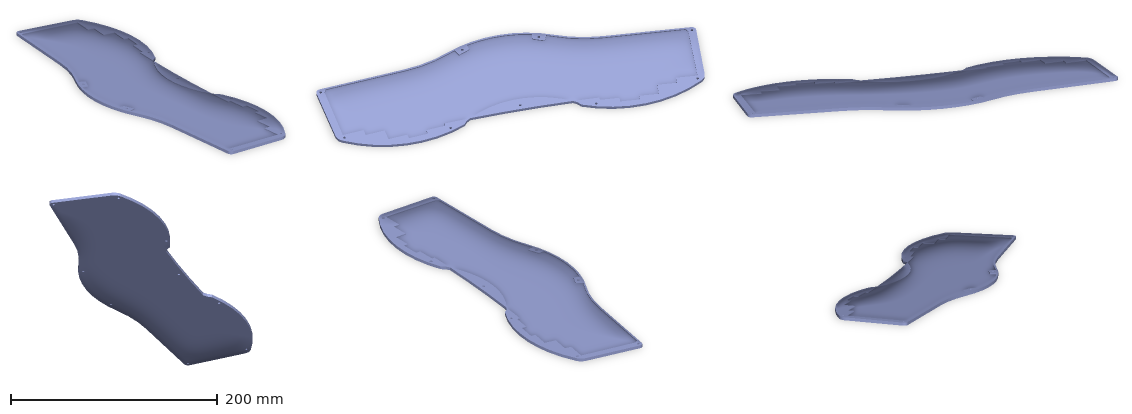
import cadquery as cq
import math

LENGTH = 376.5
DEPTH = 120.5
THICKNESS = 3.0
FLOOR = 2.0
HOLE_DIAMETER = 2.5
TILT = math.radians(5)

CORNER_RADIUS = 4.0
CORNER = (CORNER_RADIUS - LENGTH / 2, -24.5)
BULGE_RADIUS = 124.2
FLARE_RADIUS = 131.8
FRONT_RIM = 2.0

HUMP_RADIUS = 128.0
HUMP_X = -113.0
HUMP_START_X = -177.7
HUMP_END_X = -58.0
SIDE_END_Y = 34.5
SHOULDER_MIDDLE = (-181.5, 39.0)
DIP_RADIUS = 96.0
DIP_Y = 26.7
DIP_START_X = -54.5

POCKET_FRONT_CORNER = (-180.5, -23.7)
POCKET_BACK_CORNER = (-176.0, 35.5)
POCKET_BACK_Y = 40.3
KEY_PITCH = 19.2
FIRST_RUN = 21.0
STAIR_RISES = (6.8, 12.0, 5.0, -5.0, -3.0)

TAB = ((-46.3, -52.0), (-42.5, -43.0), (-31.3, -48.0), (-32.5, -56.5))
LEFT_HOLES = (CORNER, (-175.0, 39.0), (-72.3, 49.7), (-38.0, -49.0))
MIDDLE_HOLE = (0, 35.5)

ALONG = (math.cos(TILT), -math.sin(TILT))
FORWARD = (-math.sin(TILT), -math.cos(TILT))


def move(point, direction, distance):
    return (point[0] + direction[0] * distance, point[1] + direction[1] * distance)


def mirrored(point):
    return (-point[0], point[1])


def on_circle(center, radius, x, side):
    """Point of a circle at x, on its upper half (side +1) or its lower half (side -1)."""
    return (x, center[1] + side * math.sqrt(radius ** 2 - (x - center[0]) ** 2))


def front_edge(inset):
    """Flare start, middle and end on the left half, and the front of the bulge."""
    bulge_center = (0, BULGE_RADIUS - DEPTH / 2)
    bulge_radius = BULGE_RADIUS - inset
    flare_radius = FLARE_RADIUS + inset
    base = move(CORNER, FORWARD, CORNER_RADIUS + FLARE_RADIUS)
    dx = bulge_center[0] - base[0]
    dy = bulge_center[1] - base[1]
    reach = dx * ALONG[0] + dy * ALONG[1]
    gap = dx * FORWARD[0] + dy * FORWARD[1]
    travel = reach - math.sqrt((BULGE_RADIUS + FLARE_RADIUS) ** 2 - gap ** 2)
    flare_center = move(base, ALONG, travel)
    start = move(flare_center, FORWARD, -flare_radius)
    start_angle = math.atan2(-FORWARD[1], -FORWARD[0])
    end_angle = math.atan2(bulge_center[1] - flare_center[1], -flare_center[0])
    middle_angle = (start_angle + end_angle) / 2
    middle = move(flare_center, (math.cos(middle_angle), math.sin(middle_angle)), flare_radius)
    end = move(flare_center, (math.cos(end_angle), math.sin(end_angle)), flare_radius)
    return start, middle, end, (0, bulge_center[1] - bulge_radius)


def add_front_edge(sketch, inset):
    """Continue an outline from the left wing to the start of the right wing."""
    start, middle, end, bulge_front = front_edge(inset)
    return (
        sketch.lineTo(*start)
        .threePointArc(middle, end)
        .threePointArc(bulge_front, mirrored(end))
        .threePointArc(mirrored(middle), mirrored(start))
    )


def make_outline(height):
    """Rounded body whose back edge has two humps and a dip between them."""
    hump_center = (HUMP_X, DEPTH / 2 - HUMP_RADIUS)
    dip_center = (0, DIP_Y + DIP_RADIUS)
    hump_start = on_circle(hump_center, HUMP_RADIUS, HUMP_START_X, 1)
    hump_end = on_circle(hump_center, HUMP_RADIUS, HUMP_END_X, 1)
    hump_top = (HUMP_X, DEPTH / 2)
    dip_start = on_circle(dip_center, DIP_RADIUS, DIP_START_X, -1)

    outward = (-ALONG[0], -ALONG[1])
    side_start = move(CORNER, outward, CORNER_RADIUS)
    side_length = (SIDE_END_Y - side_start[1]) / math.cos(TILT)
    side_end = move(side_start, FORWARD, -side_length)
    corner_end = move(CORNER, FORWARD, CORNER_RADIUS)
    diagonal = ((outward[0] + FORWARD[0]) / math.sqrt(2), (outward[1] + FORWARD[1]) / math.sqrt(2))
    corner_middle = move(CORNER, diagonal, CORNER_RADIUS)

    sketch = cq.Workplane("XY").moveTo(*side_end).lineTo(*side_start)
    sketch = sketch.threePointArc(corner_middle, corner_end)
    sketch = (
        add_front_edge(sketch, 0)
        .lineTo(*mirrored(corner_end))
        .threePointArc(mirrored(corner_middle), mirrored(side_start))
        .lineTo(*mirrored(side_end))
        .threePointArc(mirrored(SHOULDER_MIDDLE), mirrored(hump_start))
        .threePointArc(mirrored(hump_top), mirrored(hump_end))
        .lineTo(*mirrored(dip_start))
        .threePointArc((0, DIP_Y), dip_start)
        .lineTo(*hump_end)
        .threePointArc(hump_top, hump_start)
        .threePointArc(SHOULDER_MIDDLE, side_end)
    )
    return sketch.close().extrude(height)


def stair_points():
    """Corners of the left stair, from the side of the pocket towards the middle."""
    points = [POCKET_BACK_CORNER]
    run = FIRST_RUN
    for rise in STAIR_RISES:
        points.append(move(points[-1], ALONG, run))
        points.append(move(points[-1], FORWARD, -rise))
        run = KEY_PITCH
    return points


def make_pocket_shape(height):
    """Pocket area with stepped back edges; it reaches past the dip of the body."""
    stair = stair_points()
    wing_start = move(CORNER, FORWARD, CORNER_RADIUS - FRONT_RIM)
    bevel_end = move(wing_start, ALONG, CORNER_RADIUS + FRONT_RIM)
    sketch = cq.Workplane("XY").moveTo(*POCKET_BACK_CORNER)
    sketch = sketch.lineTo(*POCKET_FRONT_CORNER).lineTo(*bevel_end)
    sketch = add_front_edge(sketch, FRONT_RIM)
    sketch = sketch.lineTo(*mirrored(bevel_end)).lineTo(*mirrored(POCKET_FRONT_CORNER))
    for point in stair:
        sketch = sketch.lineTo(*mirrored(point))
    sketch = sketch.threePointArc((0, POCKET_BACK_Y), stair[-1])
    for point in reversed(stair[1:-1]):
        sketch = sketch.lineTo(*point)
    return sketch.close().extrude(height)


def make_tabs(height):
    left = cq.Workplane("XY").polyline(TAB).close().extrude(height)
    return left.union(left.mirror("YZ"))


def make_holes():
    points = [MIDDLE_HOLE]
    for point in LEFT_HOLES:
        points += [point, mirrored(point)]
    return cq.Workplane("XY").pushPoints(points).circle(HOLE_DIAMETER / 2).extrude(THICKNESS)


body = make_outline(THICKNESS)
pocket = make_pocket_shape(THICKNESS)
floor = make_outline(FLOOR).union(make_pocket_shape(FLOOR))
rim = body.cut(pocket)
back_strip = pocket.cut(body)
tabs = make_tabs(THICKNESS).intersect(body)

result = floor.union(rim).union(back_strip).union(tabs).cut(make_holes())